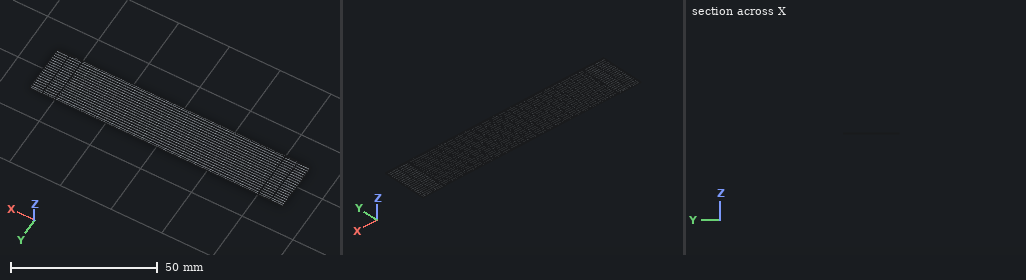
import cadquery as cq


cable_length = 100.0
overall_height = 0.36
conductor_count = 18
conductor_pitch = 1.0
conductor_width = 0.7
exposed_length = 5.0
stiffener_length = 10.0

lower_film_thickness = 0.07
conductor_thickness = 0.02
upper_film_thickness = 0.05

cable_width = (conductor_count + 1) * conductor_pitch
covered_length = cable_length - 2 * exposed_length
conductor_row_half_span = (conductor_count - 1) * conductor_pitch / 2
stiffener_x = (cable_length - stiffener_length) / 2
upper_film_z = overall_height - upper_film_thickness
conductor_z = upper_film_z - conductor_thickness
lower_film_z = conductor_z - lower_film_thickness
stiffener_thickness = lower_film_z


def strip(length, width, thickness, bottom_z, x=0, y=0):
    """Flat rectangular strip centred at (x, y), rising from bottom_z."""
    box = cq.Workplane("XY").box(length, width, thickness, centered=(True, True, False))
    return box.translate((x, y, bottom_z))


result = strip(cable_length, cable_width, lower_film_thickness, lower_film_z)

for x in (-stiffener_x, stiffener_x):
    result = result.union(strip(stiffener_length, cable_width, stiffener_thickness, 0, x=x))

for index in range(conductor_count):
    y = index * conductor_pitch - conductor_row_half_span
    result = result.union(strip(cable_length, conductor_width, conductor_thickness, conductor_z, y=y))

result = result.union(strip(covered_length, cable_width, upper_film_thickness, upper_film_z))